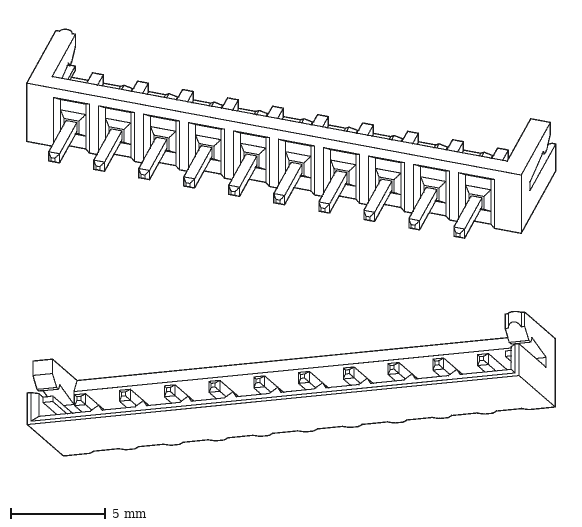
import cadquery as cq

length = 27.5
depth = 6.0
height = 3.8

end_wall = 0.55
end_wall_height = 1.75
ledge_end = 5.0
ledge_thickness = 0.3
floor_thickness = 0.5
lead_in = 0.33

front_wall = 1.5
front_wall_top = 1.0
slope_bottom = 3.02

pin_count = 10
pitch = 2.5
pin_width = 0.6
pin_height = 1.55
pin_front = -3.22
pin_back = 4.8
pin_tip_length = 0.22
pin_tip_width = 0.22

pocket_width = 2.0
pocket_top = 3.2
pocket_floor_width = 1.4
pocket_floor_top = 2.92
pocket_depth = 0.3
collar_base = pocket_floor_width
collar_top = 0.82

ridge_height = 0.45
ridge_half_width = 0.33

arm_width = 1.1
arm_end = 5.05
hook_bottom = 2.42
hook_front = 4.05
hook_back = 4.37
relief_front = 3.85
relief_top = 2.72
root_bottom = 2.3
ramp_slope = 0.83

key_length = 0.28
key_width = 0.72

half_length = length / 2
pin_positions = [(i - (pin_count - 1) / 2) * pitch for i in range(pin_count)]
ridge_positions = [x + pitch / 2 for x in pin_positions[:-1]]


def extrude_along_x(points, x_start, x_end):
    """Prism along X from a list of (y, z) points."""
    return cq.Workplane("YZ").workplane(offset=x_start).polyline(points).close().extrude(x_end - x_start)


def frustum(x, y_start, start_size, y_end, end_size):
    """Square frustum along Y, centred on a pin."""
    return (
        cq.Workplane("XZ", origin=(x, y_start, pin_height))
        .rect(start_size, start_size)
        .workplane(offset=y_start - y_end)
        .rect(end_size, end_size)
        .loft(combine=True)
    )


def make_front_wall():
    section = [(0, 0), (front_wall, 0), (front_wall, height), (0, height)]
    wall = extrude_along_x(section, -half_length, half_length)
    slope = [(front_wall_top, height), (front_wall, height), (front_wall, slope_bottom)]
    inner_half = half_length - arm_width
    return wall.cut(extrude_along_x(slope, -inner_half, inner_half))


def make_tray():
    """Floor with ridges and end walls; its mating edge flares outward."""
    tray = cq.Workplane("XY").box(length, depth, floor_thickness, centered=(True, False, False))
    for x in ridge_positions:
        ridge = (
            cq.Workplane("XZ")
            .moveTo(x - ridge_half_width, floor_thickness)
            .lineTo(x, floor_thickness + ridge_height)
            .lineTo(x + ridge_half_width, floor_thickness)
            .close()
            .extrude(-depth)
        )
        tray = tray.union(ridge)
    lead_in_rise = lead_in + ridge_height
    lead_in_cut = [
        (depth, floor_thickness - lead_in),
        (depth, floor_thickness + ridge_height),
        (depth - lead_in_rise, floor_thickness + ridge_height),
    ]
    tray = tray.cut(extrude_along_x(lead_in_cut, -half_length, half_length))
    wall_plan = [
        (-half_length, 0),
        (-half_length + end_wall, 0),
        (-half_length + end_wall, depth - lead_in),
        (-half_length + end_wall - lead_in, depth),
        (-half_length, depth),
    ]
    ledge_bottom = end_wall_height - ledge_thickness
    ledge_section = [
        (0, ledge_bottom),
        (ledge_end, ledge_bottom),
        (ledge_end, end_wall_height),
        (0, end_wall_height),
    ]
    ledge = extrude_along_x(ledge_section, -half_length, -half_length + arm_width)
    wall = cq.Workplane("XY").polyline(wall_plan).close().extrude(end_wall_height).union(ledge)
    return tray.union(wall).union(wall.mirror("YZ"))


def make_arm(tip):
    """Arm at the -X end, ending at the given Y, with a hook and a relieved underside."""
    tip_bottom = hook_bottom + (tip - hook_back) * ramp_slope
    profile = [
        (0, height),
        (tip, height),
        (tip, tip_bottom),
        (hook_back, hook_bottom),
        (hook_front, hook_bottom),
        (relief_front, relief_top),
        (front_wall, root_bottom),
        (0, root_bottom),
    ]
    return extrude_along_x(profile, -half_length, -half_length + arm_width)


def make_keyed_arm():
    """Longer arm trimmed in plan so that only the key projects past the arm end."""
    key_x = -half_length + arm_width / 2
    plan = (
        cq.Workplane("XY")
        .moveTo(-half_length, 0)
        .lineTo(-half_length + arm_width, 0)
        .lineTo(-half_length + arm_width, arm_end)
        .lineTo(key_x + key_width / 2, arm_end)
        .threePointArc((key_x, arm_end + key_length), (key_x - key_width / 2, arm_end))
        .lineTo(-half_length, arm_end)
        .close()
        .extrude(height)
    )
    return make_arm(arm_end + key_length).intersect(plan)


def make_pocket(x):
    """Tapered recess in the front face, open at the bottom."""
    return (
        cq.Workplane("XZ", origin=(x, 0, 0))
        .center(0, pocket_top / 2)
        .rect(pocket_width, pocket_top)
        .workplane(offset=-pocket_depth)
        .center(0, (pocket_floor_top - pocket_top) / 2)
        .rect(pocket_floor_width, pocket_floor_top)
        .loft(combine=True)
    )


def make_pin(x):
    """Square pin with tapered tips, and the collar around it in its pocket."""
    pin_length = pin_back - pin_front - 2 * pin_tip_length
    shank = cq.Workplane("XY").box(pin_width, pin_length, pin_width, centered=(True, False, True))
    pin = shank.translate((x, pin_front + pin_tip_length, pin_height))
    pin = pin.union(frustum(x, pin_front + pin_tip_length, pin_width, pin_front, pin_tip_width))
    pin = pin.union(frustum(x, pin_back - pin_tip_length, pin_width, pin_back, pin_tip_width))
    return pin.union(frustum(x, pocket_depth, collar_base, 0, collar_top))


plain_arm = make_arm(arm_end).mirror("YZ")
result = make_front_wall().union(make_tray()).union(make_keyed_arm()).union(plain_arm)
for x in pin_positions:
    result = result.cut(make_pocket(x)).union(make_pin(x))